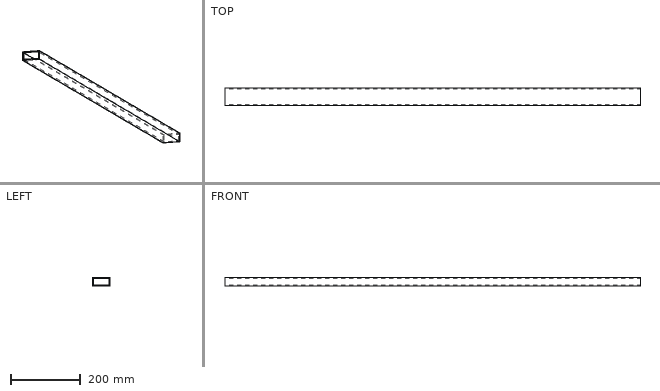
import cadquery as cq

length = 1193.8
width = 50.8
height = 25.4
wall = 3.175

bore_width = width - 2 * wall
bore_height = height - 2 * wall


def centred_bar(bar_width, bar_height):
    """Solid rectangular bar of the full tube length, centred on the origin."""
    return cq.Workplane("XY").box(length, bar_width, bar_height)


outer = centred_bar(width, height)
bore = centred_bar(bore_width, bore_height)

result = outer.cut(bore)